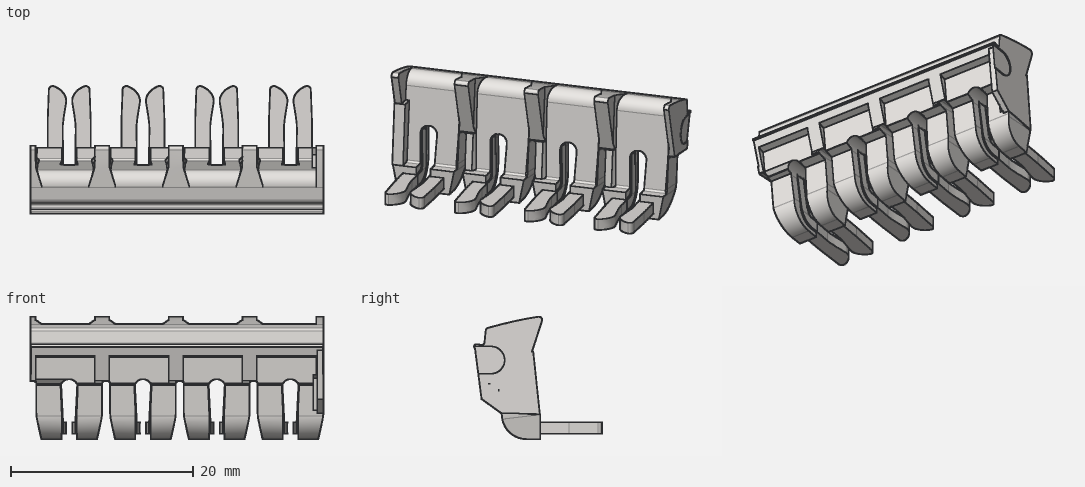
import cadquery as cq
import math


length = 32.2
pitch = 8.1
cell_count = 4
fork_centres = [4.26 + pitch * i for i in range(cell_count)]
rib_centres = [-0.22 + pitch * i for i in range(cell_count + 1)]
gap_centres = [centre - pitch / 2 for centre in fork_centres]

clearance = 3.0
pick_reach = 0.02

lean = 0.118

lip_face_z = 10.15
lip_corner_radius = 0.28
lip_top_y, lip_top_z = 0.52, 10.46
lip_root_y, lip_root_z = 1.1, 10.22
lip_root_radius = 0.3
rail_front_y, rail_front_z = 1.3, 12.18
rail_front_radius = 0.38
overhang_top_y, overhang_top_z = 0.04, 10.1
overhang_end_y, overhang_end_z = 1.25, 6.42
window_top_z = 9.2
window_ceiling_drop = 0.2
panel_depth_y = 1.2
panel_bottom_z = 6.12
panel_step_drop = 0.2
wall_rear_y, wall_round_z = 4.88, 11.31
wall_round_radius = 1.55
rail_rear_y, rail_rear_z = 2.93, 12.62

rib_half = 0.8
rib_tip_y, rib_tip_z = 7.5, 13.53
rib_tip_side_z = 13.05
rib_tip_radius = 0.38
rib_tail_y, rib_tail_z = 5.49, 6.9
rib_bottom_z = 6.15
rib_top_mid_y, rib_top_mid_z = 4.2, 12.93

rib_flare_half = 1.46
flare_tail_proud = 0.45
flare_tail_depth = 1.0
flare_top_rear_y = 5.1
flare_foot_rear_y = 6.3
flare_top_shoulder_y = 2.85
flare_foot_shoulder_y = 5.6
flare_depth = 1.0

tab_front_y, tab_front_z = 3.05, 2.6
slit_half = 0.83
arch_radius = 0.96
arch_top_z = 6.56
tab_half = 3.62
foot_taper_z = 2.4
foot_taper_radius = 3.6
foot_taper_slope = 0.197
foot_taper_drop = 4.0
foot_rear_y = 7.3
foot_top_z = 2.73
foot_round_radius = 2.75
foot_inner_radius = 0.25
gap_top_z = 6.38
gap_corner_radius = 0.3

flange_front_x = 31.5
flange_rear_x = 30.94
flange_front_top = (0.12, 9.8)
flange_front_low = (0.82, 4.42)
flange_bottom = (3.0, 2.85)
flange_rear_low = (7.25, 2.73)
flange_rear_top = (6.52, 9.64)
flange_split_y = 4.5
relief_left_x = 31.07
relief_bottom_z, relief_top_z = 3.2, 7.1
relief_drop = 0.4
relief_depth = 0.3

panel_chamfer = 0.4
end_recess_depth = 0.1
end_recess_y, end_recess_z = 1.87, 8.7
end_recess_radius = 1.5

metal_thickness = 1.28
prong_bottom_z = 0.6
prong_top_z = prong_bottom_z + metal_thickness
leg_rear_y, leg_rear_z = 5.5, 2.7
bend_radius = 0.7
leg_inner_half = 0.66
leg_inner_half_top = 0.9
prong_outer_half = 2.37
prong_root_y = foot_rear_y - 0.5
prong_straight_end = (prong_outer_half, 10.4)
prong_taper_end = (2.25, 13.6)
prong_tip_shoulder = (2.13, 13.93)
prong_tip = (1.75, 14.06)
prong_inner_curve = [(0.95, 13.62), (0.33, 12.6), (0.4, 11.8), (0.62, 10.4), (0.7, 9.2)]
bar_bottom_z, bar_top_z = 7.0, 9.5


def wall_rear(z):
    return wall_rear_y + lean * (wall_round_z - z)


def panel_front(z):
    return panel_depth_y + lean * (window_top_z - z)


def tab_front(z):
    return tab_front_y - lean * (z - tab_front_z)


def leg_rear(z):
    return leg_rear_y - lean * (z - leg_rear_z)


def overhang_front(z):
    slope = (overhang_end_y - overhang_top_y) / (overhang_top_z - overhang_end_z)
    return overhang_top_y + slope * (overhang_top_z - z)


def along_x(points, x_start, x_end):
    """Prism of a (Y, Z) outline between two X positions."""
    outline = cq.Workplane("YZ").workplane(offset=x_start).polyline(points).close()
    return outline.extrude(x_end - x_start)


def along_y(points, y_start, y_end):
    """Prism of an (X, Z) outline between two Y positions."""
    outline = cq.Workplane("XZ").workplane(offset=-y_start).polyline(points).close()
    return outline.extrude(y_start - y_end)


def front_edges(section):
    """Draws from the overhang over the lip and across the top of the rail."""
    return (
        section.lineTo(0, lip_face_z)
        .lineTo(0, lip_top_z)
        .lineTo(lip_top_y, lip_top_z)
        .lineTo(lip_root_y, lip_root_z)
        .lineTo(rail_front_y, rail_front_z)
        .lineTo(rail_rear_y, rail_rear_z)
    )


def full_profile(x_start, x_end):
    """Complete housing section with the rear spur of a rib."""
    section = cq.Workplane("YZ").workplane(offset=x_start).moveTo(overhang_end_y, rib_bottom_z)
    section = section.lineTo(overhang_end_y, overhang_end_z).lineTo(overhang_top_y, overhang_top_z)
    section = front_edges(section)
    section = section.threePointArc((rib_top_mid_y, rib_top_mid_z), (rib_tip_y, rib_tip_z))
    section = section.lineTo(rib_tip_y, rib_tip_side_z).lineTo(rib_tail_y, rib_tail_z)
    section = section.lineTo(rib_tail_y, rib_bottom_z).close()
    solid = section.extrude(x_end - x_start)
    solid = round_along_x(solid, rib_tip_y, rib_tip_z, rib_tip_radius)
    solid = round_along_x(solid, 0, lip_top_z, lip_corner_radius)
    solid = round_along_x(solid, rail_front_y, rail_front_z, rail_front_radius)
    return round_along_x(solid, lip_root_y, lip_root_z, lip_root_radius)


def round_along_x(solid, y, z, radius):
    """Rounds the one edge that runs along X through (y, z)."""
    box = cq.selectors.BoxSelector(
        (-pick_reach, y - pick_reach, z - pick_reach),
        (length + pick_reach, y + pick_reach, z + pick_reach),
    )
    return solid.edges("|X").edges(box).fillet(radius)


def wall_envelope():
    """Space in front of the wall's rear face, closed above by the rounded wall top."""
    lean_angle = math.atan(lean)
    centre_y = wall_rear_y - wall_round_radius * math.cos(lean_angle)
    centre_z = wall_round_z - wall_round_radius * math.sin(lean_angle)
    crown = (centre_y, centre_z + wall_round_radius)
    return (
        cq.Workplane("YZ")
        .moveTo(-clearance, rib_bottom_z)
        .lineTo(wall_rear(rib_bottom_z), rib_bottom_z)
        .lineTo(wall_rear_y, wall_round_z)
        .threePointArc(crown, (rail_rear_y, rail_rear_z))
        .lineTo(rail_rear_y, rib_tip_z)
        .lineTo(-clearance, rib_tip_z)
        .close()
        .extrude(length)
    )


def rib_flare(centre):
    """Widening root of a rib; its sides turn and lean back with the wall down to the foot."""
    def outline(rear_y, shoulder_y, z):
        offsets = [
            (-rib_flare_half, shoulder_y - flare_depth),
            (-rib_flare_half, shoulder_y),
            (-rib_half, rear_y),
            (rib_half, rear_y),
            (rib_flare_half, shoulder_y),
            (rib_flare_half, shoulder_y - flare_depth),
        ]
        return cq.Wire.makePolygon([cq.Vector(centre + x, y, z) for x, y in offsets], close=True)

    top = outline(flare_top_rear_y, flare_top_shoulder_y, rib_tip_z)
    bottom = outline(flare_foot_rear_y, flare_foot_shoulder_y, foot_top_z)
    flare = cq.Workplane(cq.Solid.makeLoft([top, bottom], True))
    return flare.intersect(full_profile(0, length).union(flare_tail()))


def window(x_start, x_end):
    """Opening under the rail in front of the panel."""
    low = rib_bottom_z - clearance
    return along_x(
        [
            (overhang_front(window_top_z), window_top_z),
            (panel_front(window_top_z), window_top_z - window_ceiling_drop),
            (panel_front(low), low),
            (-clearance, low),
            (-clearance, window_top_z),
        ],
        x_start,
        x_end,
    )


def tabs_and_feet():
    """Lower wall with the rounded foot, before the slots split it into tabs."""
    joint_z = rib_tail_z
    step_z = panel_bottom_z - panel_step_drop
    rise = foot_round_radius - tab_front_z
    foot_centre_y = tab_front_y + math.sqrt(foot_round_radius**2 - rise**2)
    diagonal = foot_round_radius * math.sqrt(0.5)
    x_start = fork_centres[0] - tab_half
    body = (
        cq.Workplane("YZ")
        .workplane(offset=x_start)
        .moveTo(foot_rear_y, 0)
        .lineTo(foot_centre_y, 0)
        .threePointArc(
            (foot_centre_y - diagonal, foot_round_radius - diagonal), (tab_front_y, tab_front_z)
        )
        .lineTo(tab_front(step_z), step_z)
        .lineTo(panel_front(panel_bottom_z), panel_bottom_z)
        .lineTo(panel_front(joint_z), joint_z)
        .lineTo(wall_rear(joint_z), joint_z)
        .lineTo(wall_rear(foot_top_z), foot_top_z)
        .lineTo(foot_rear_y, foot_top_z)
        .close()
        .extrude(fork_centres[-1] + tab_half - x_start)
    )
    return round_along_x(body, wall_rear(foot_top_z), foot_top_z, foot_inner_radius)


def lean_back(cutter, z):
    """Tilts a slot so that its top is square to the leaning wall; the front of the wall stays at z."""
    angle = math.degrees(math.atan(lean))
    return cutter.rotate((0, overhang_end_y, z), (1, overhang_end_y, z), angle)


def slit(centre):
    """Arched slit between the two tabs of one fork."""
    spring_z = arch_top_z - arch_radius
    cutter = (
        cq.Workplane("XZ")
        .workplane(offset=clearance)
        .moveTo(centre - slit_half, -clearance)
        .lineTo(centre - slit_half, tab_front_z)
        .lineTo(centre - arch_radius, spring_z)
        .threePointArc((centre, arch_top_z), (centre + arch_radius, spring_z))
        .lineTo(centre + slit_half, tab_front_z)
        .lineTo(centre + slit_half, -clearance)
        .close()
        .extrude(-(foot_rear_y + 2 * clearance))
    )
    return lean_back(cutter, arch_top_z)


def gap(centre):
    """Gap between the tabs of neighbouring forks, which widens between the feet."""
    half = pitch / 2 - tab_half
    half_bottom = half + foot_taper_slope * foot_taper_drop
    low_z = foot_taper_z - foot_taper_drop
    slot = along_y(
        [
            (centre - half, gap_top_z),
            (centre + half, gap_top_z),
            (centre + half, foot_taper_z),
            (centre + half_bottom, low_z),
            (centre - half_bottom, low_z),
            (centre - half, foot_taper_z),
        ],
        -clearance,
        foot_rear_y + clearance,
    )
    slot = slot.edges("|Y and >Z").fillet(gap_corner_radius)
    waist = cq.selectors.BoxSelector(
        (centre - pitch, -2 * clearance, foot_taper_z - pick_reach),
        (centre + pitch, foot_rear_y + 2 * clearance, foot_taper_z + pick_reach),
    )
    slot = slot.edges("|Y").edges(waist).fillet(foot_taper_radius)
    return lean_back(slot, gap_top_z)


def end_flange():
    """Plate on the right-hand end that reaches in front of and behind the last tab."""
    front = along_x(
        [
            flange_front_top,
            flange_front_low,
            flange_bottom,
            (flange_split_y, flange_bottom[1]),
            (flange_split_y, flange_front_top[1]),
        ],
        flange_front_x,
        length,
    )
    rear = along_x(
        [
            (flange_split_y, flange_bottom[1]),
            flange_rear_low,
            flange_rear_top,
            (flange_split_y, flange_rear_top[1]),
        ],
        flange_rear_x,
        length,
    )
    return front.union(rear)


def flange_relief():
    """Shallow notch in the last tab beside the flange, with a sloping ceiling."""
    ceiling_z = relief_top_z - relief_drop
    floor_y = tab_front(ceiling_z) + relief_depth
    return along_x(
        [
            (0, relief_top_z),
            (panel_front(relief_top_z), relief_top_z),
            (floor_y, ceiling_z),
            (tab_front(relief_bottom_z) + relief_depth, relief_bottom_z),
            (0, relief_bottom_z),
        ],
        relief_left_x,
        flange_front_x,
    )


def first_panel_chamfer():
    """Bevel under the first panel, left of the first slit."""
    front = panel_front(panel_bottom_z)
    return along_x(
        [
            (front - panel_chamfer, panel_bottom_z + 2 * panel_chamfer),
            (front + panel_chamfer, panel_bottom_z),
            (front + panel_chamfer, panel_bottom_z - panel_step_drop),
            (front - panel_chamfer, panel_bottom_z - panel_step_drop),
        ],
        rib_centres[0] + rib_half,
        fork_centres[0],
    )


def flare_tail():
    """Section of the flares below the rail, slightly proud of the wall down to the foot."""
    return along_x(
        [
            (wall_rear(foot_top_z) - flare_tail_depth, foot_top_z),
            (wall_rear(foot_top_z) + flare_tail_proud, foot_top_z),
            (wall_rear(rib_tail_z) + flare_tail_proud, rib_tail_z),
            (wall_rear(rib_tail_z) - flare_tail_depth, rib_tail_z),
        ],
        0,
        length,
    )


def end_recess(x_start):
    """Shallow D-shaped recess in an end face, open to the front."""
    return (
        cq.Workplane("YZ")
        .workplane(offset=x_start)
        .moveTo(-clearance, end_recess_z - end_recess_radius)
        .lineTo(end_recess_y, end_recess_z - end_recess_radius)
        .threePointArc(
            (end_recess_y + end_recess_radius, end_recess_z),
            (end_recess_y, end_recess_z + end_recess_radius),
        )
        .lineTo(-clearance, end_recess_z + end_recess_radius)
        .close()
        .extrude(end_recess_depth)
    )


def make_housing():
    body = full_profile(0, length).intersect(wall_envelope())
    for centre in rib_centres:
        rib_start = max(centre - rib_half, 0)
        rib_end = min(centre + rib_half, length)
        body = body.union(full_profile(rib_start, rib_end))
    for centre in rib_centres[:-1]:
        body = body.union(rib_flare(centre))
    for left, right in zip(rib_centres, rib_centres[1:]):
        body = body.cut(window(left + rib_half, right - rib_half))
    body = body.union(tabs_and_feet()).cut(first_panel_chamfer())
    for centre in gap_centres + [gap_centres[-1] + pitch]:
        body = body.cut(gap(centre))
    body = body.cut(flange_relief()).union(end_flange())
    for centre in fork_centres:
        body = body.cut(slit(centre))
    for x_start in (0, length - end_recess_depth):
        body = body.cut(end_recess(x_start))
    return body


def comb_sheet(x_start, x_end):
    """Bent sheet section: upright plate turning back into the prongs."""
    front = [(leg_rear(z) - metal_thickness, z) for z in (bar_top_z, prong_bottom_z)]
    rear = [(leg_rear(z), z) for z in (prong_top_z, bar_top_z)]
    foot = [(foot_rear_y, prong_bottom_z), (foot_rear_y, prong_top_z)]
    sheet = along_x(front + foot + rear, x_start, x_end)
    sheet = round_along_x(sheet, *rear[0], bend_radius)
    return round_along_x(sheet, *front[1], bend_radius + metal_thickness)


def leg(centre, side):
    """One leg with its bend; side is -1 for left and 1 for right."""
    outline = along_y(
        [
            (centre + side * leg_inner_half, 0),
            (centre + side * leg_inner_half, prong_top_z),
            (centre + side * leg_inner_half_top, arch_top_z),
            (centre + side * leg_inner_half_top, bar_top_z),
            (centre + side * prong_outer_half, bar_top_z),
            (centre + side * prong_outer_half, 0),
        ],
        0,
        foot_rear_y,
    )
    return outline.intersect(comb_sheet(0, length))


def prong(centre, side):
    """One curved contact finger."""
    def at(point):
        return (centre + side * point[0], point[1])

    return (
        cq.Workplane("XY", origin=(0, 0, prong_bottom_z))
        .moveTo(*at((prong_outer_half, prong_root_y)))
        .lineTo(*at(prong_straight_end))
        .lineTo(*at(prong_taper_end))
        .threePointArc(at(prong_tip_shoulder), at(prong_tip))
        .spline([at(point) for point in prong_inner_curve], includeCurrent=True)
        .lineTo(*at((leg_inner_half, prong_root_y)))
        .close()
        .extrude(metal_thickness)
    )


def make_comb():
    bar_start = fork_centres[0] - prong_outer_half
    bar_end = fork_centres[-1] + prong_outer_half
    bar_space = cq.Workplane("XY").box(length, foot_rear_y, bar_top_z - bar_bottom_z, centered=False)
    comb = comb_sheet(bar_start, bar_end).intersect(bar_space.translate((0, 0, bar_bottom_z)))
    for centre in fork_centres:
        for side in (-1, 1):
            comb = comb.union(leg(centre, side)).union(prong(centre, side))
    return comb


comb = make_comb()
housing = make_housing().cut(comb)

result = cq.Compound.makeCompound([housing.solids().val(), comb.solids().val()])